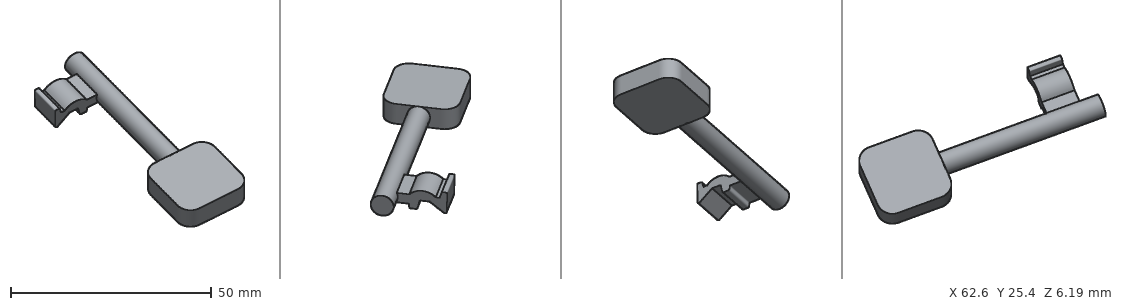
import cadquery as cq

key_length = 62.65
thickness = 5.9
head_size = 19.55
head_corner_radius = 3.95

bit_start = 4.8
bit_width = 8.9
web_top = 1.2
web_bottom = -1.6
web_corner_radius = 0.3

arch_start = 5.9
arch_end = 12.65
arch_crown = 2.6

lip_foot_reach = 13.65
lip_inner_reach = 14.2
lip_inner_radius = 0.25
lip_outer_reach = 15.6
lip_outer_radius = 0.4

tip_reach = 15.5
tip_corner_height = -3.7
tip_radius = 0.45

tooth_inner_reach = 5.8
tooth_outer_reach = 7.95
tooth_radius = 0.55
recess_start = 8.5
recess_end = 11.1
recess_roof = -0.3
recess_radius = 0.45

half_thickness = thickness / 2
head_start = key_length - head_size


def make_head():
    return (
        cq.Workplane("XY")
        .box(head_size, head_size, thickness)
        .edges("|Z")
        .fillet(head_corner_radius)
        .translate((head_start + head_size / 2, 0, 0))
    )


def make_shaft():
    return cq.Workplane("YZ").circle(half_thickness).extrude(key_length - head_size / 2)


def make_bit():
    plane = cq.Plane(origin=(bit_start, 0, 0), xDir=(0, -1, 0), normal=(-1, 0, 0))
    tip = (tip_reach, tip_corner_height)
    lip_inner = (lip_inner_reach, half_thickness)
    lip_outer = (lip_outer_reach, half_thickness)
    recess_corner = (recess_start, recess_roof)
    tooth_outer = (tooth_outer_reach, -half_thickness)
    tooth_inner = (tooth_inner_reach, -half_thickness)
    web_corner = (tooth_inner_reach, web_bottom)
    bit = (
        cq.Workplane(plane)
        .moveTo(0, web_top)
        .lineTo(arch_start, web_top)
        .threePointArc(((arch_start + arch_end) / 2, arch_crown), (arch_end, web_top))
        .lineTo(lip_foot_reach, web_top)
        .lineTo(*lip_inner)
        .lineTo(*lip_outer)
        .lineTo(*tip)
        .lineTo(recess_end, recess_roof)
        .lineTo(*recess_corner)
        .lineTo(*tooth_outer)
        .lineTo(*tooth_inner)
        .lineTo(*web_corner)
        .lineTo(0, web_bottom)
        .close()
        .extrude(-bit_width)
    )
    rounded_corners = [
        (lip_inner, lip_inner_radius),
        (lip_outer, lip_outer_radius),
        (tip, tip_radius),
        (recess_corner, recess_radius),
        (tooth_outer, tooth_radius),
        (tooth_inner, tooth_radius),
        (web_corner, web_corner_radius),
    ]
    for (reach, height), radius in rounded_corners:
        edge_middle = (bit_start + bit_width / 2, -reach, height)
        bit = bit.edges("|X").edges(cq.NearestToPointSelector(edge_middle)).fillet(radius)
    return bit


result = make_head().union(make_shaft()).union(make_bit())